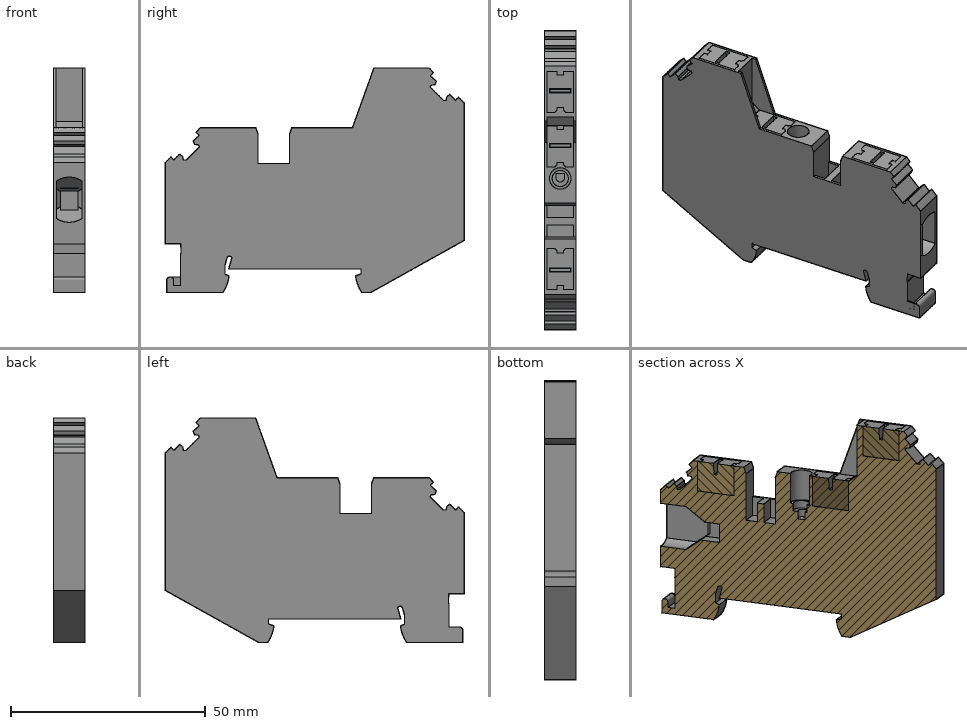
import cadquery as cq
import math

WIDTH = 8.15
LENGTH = 76.7
HEIGHT = 57.6

DECK_Z = 42.3
CORNER = 9.0
SLOPE_TOP_Y = 53.5
SLOPE_BOTTOM_Y = 48.0
REAR_EDGE_Z = 13.35
GAP_BACK_Y = 31.85
GAP_FRONT_Y = 23.85
GAP_FLOOR_Z = 33.1
GAP_LEAD_IN_Y = 0.6
GAP_LEAD_IN_Z = 1.7

RAIL_Z = 6.0
REAR_HOOK_Y = 48.8
FRONT_HOOK_Y = 16.4
HOOK_TIP_Z = 4.3
HOOK_LEDGE_Z = 4.7
HOOK_SHOULDER_Z = 4.8
HOOK_MID = (0.4, 2.4)
HOOK_INSET = 1.6
REAR_HOOK_DEPTH = 1.4
FRONT_HOOK_DEPTH = 1.05
REAR_FOOT_Y = 52.75
SPRING_SLOT_TOP_Z = 8.9
SPRING_SLOT_LEFT_Y = 17.05
SPRING_SLOT_RIGHT_Y = 15.9
SPRING_SLOT_RISE = 0.4
SPRING_SLOT_BEND_Z = 7.0
RAIL_FRONT_Y = 16.25
FOOT_Y = 0.35
FOOT_TOP_Z = 4.0
FOOT_ROUND = 0.9
FOOT_NOTCH_Y = 3.9
FOOT_NOTCH_TOP_Z = 12.45
FOOT_STEP_Z = 10.05
FOOT_STEP_BOTTOM_Y = 4.05
FOOT_STEP_TOP_Y = 3.95

GROOVE_SKIN = 0.35
GROOVE_FLOOR_Z = 1.8

TOOTH_POINTS = [
    (0, 0),
    (1.1, 1.2), (0.3, 2.0),
    (1.85, 3.4), (1.5, 4.35), (0.55, 4.45), (0.25, 4.9),
    (3.65, 8.3), (4.3, 8.3), (4.45, 7.5), (5.25, 6.75),
    (6.8, 8.3), (7.5, 7.5),
    (CORNER, CORNER),
]

INNER_WIDTH = 6.8
RECESS_WALL_Y = 54.5
RECESS_RAMP_Y = 52.4
RECESS_RAMP_Z = 43.9
POCKET_LENGTH = 3.05
POCKET_DEPTH = 5.0

SCREW_Y = 38.8
SCREW_BORE = 5.5
SCREW_BORE_DEPTH = 8.0
SCREW_STEP = 4.15
SCREW_STEP_DEPTH = 2.0
SCREW_TIP = 2.2
SCREW_TIP_DEPTH = 2.0
SCREW_TIP_OFFSET = 0.2

ENTRY_Z = 23.8
ENTRY_RADIUS = 5.8
ENTRY_WIDTH = 6.5
ENTRY_BORE_DEPTH = 7.0
FUNNEL_Z = 24.0
FUNNEL_END_WIDTH = 4.6
FUNNEL_END_HEIGHT = 3.9
FUNNEL_SLOPE = 1.4
CLAMP_WIDTH = 4.6
CLAMP_BOTTOM_Z = 21.15
CLAMP_TOP_Z = 26.75
CLAMP_TOP_DROP = 0.75
CLAMP_DEPTH = 5.0

BUTTON_LENGTH = 10.5
BUTTON_HEIGHT = 8.0
KEY_WIDTH = 1.7
PLAIN_KEY_DEPTH = 0.95
FLARED_KEY_DEPTH = 1.2
KEY_FLARE = 0.55
SLOT_LENGTH = 5.45
SLOT_WIDTH = 1.05
SLOT_DEPTH = 3.0
SLOT_TAPER = 3.0
SLOT_OFFSET = 0.3
BUTTONS = [
    (61.0, HEIGHT, 1),
    (47.0, DECK_Z, 1),
    (15.6, DECK_Z, -1),
]


def toothed_corner(end_y, direction, top_z):
    """Points from the top edge down to the end face at end_y; direction points outward."""
    top_y = end_y - direction * CORNER
    return [(top_y + direction * out, top_z - down) for out, down in TOOTH_POINTS]


def hook_flank(tip_y, direction):
    """Tip, middle and bottom points of a hook flank; direction points into the foot."""
    mid_inset, mid_z = HOOK_MID
    return (
        (tip_y, HOOK_TIP_Z),
        (tip_y + direction * mid_inset, mid_z),
        (tip_y + direction * HOOK_INSET, 0),
    )


def housing_blank():
    rear_corner = toothed_corner(LENGTH, 1, HEIGHT)
    front_corner = toothed_corner(0, -1, DECK_Z)
    rear_tip, rear_mid, rear_bottom = hook_flank(REAR_HOOK_Y, 1)
    front_tip, front_mid, front_bottom = hook_flank(FRONT_HOOK_Y, -1)
    front_ledge_y = FRONT_HOOK_Y - FRONT_HOOK_DEPTH
    slot_mid_y = (SPRING_SLOT_LEFT_Y + SPRING_SLOT_RIGHT_Y) / 2
    round_mid = FOOT_ROUND * (1 - math.sqrt(0.5))

    outline = cq.Workplane("YZ").polyline(rear_corner)
    outline = (
        outline
        .lineTo(LENGTH, REAR_EDGE_Z)
        .lineTo(REAR_FOOT_Y, 0)
        .lineTo(*rear_bottom)
        .threePointArc(rear_mid, rear_tip)
        .lineTo(REAR_HOOK_Y + REAR_HOOK_DEPTH, HOOK_SHOULDER_Z)
        .lineTo(REAR_HOOK_Y + REAR_HOOK_DEPTH, RAIL_Z)
        .lineTo(RAIL_FRONT_Y, RAIL_Z)
        .lineTo(SPRING_SLOT_LEFT_Y, SPRING_SLOT_TOP_Z)
        .threePointArc(
            (slot_mid_y, SPRING_SLOT_TOP_Z + SPRING_SLOT_RISE),
            (SPRING_SLOT_RIGHT_Y, SPRING_SLOT_TOP_Z),
        )
        .lineTo(front_ledge_y, SPRING_SLOT_BEND_Z)
        .lineTo(front_ledge_y, HOOK_LEDGE_Z)
        .lineTo(*front_tip)
        .threePointArc(front_mid, front_bottom)
        .lineTo(FOOT_Y, 0)
        .lineTo(FOOT_Y, FOOT_TOP_Z - FOOT_ROUND)
        .threePointArc(
            (FOOT_Y + round_mid, FOOT_TOP_Z - round_mid),
            (FOOT_Y + FOOT_ROUND, FOOT_TOP_Z),
        )
        .lineTo(FOOT_NOTCH_Y, FOOT_TOP_Z)
        .lineTo(FOOT_NOTCH_Y, FOOT_STEP_Z)
        .lineTo(FOOT_STEP_BOTTOM_Y, FOOT_STEP_Z)
        .lineTo(FOOT_STEP_TOP_Y, FOOT_NOTCH_TOP_Z)
        .lineTo(0, FOOT_NOTCH_TOP_Z)
    )
    for point in reversed(front_corner):
        outline = outline.lineTo(*point)
    outline = (
        outline
        .lineTo(GAP_FRONT_Y - GAP_LEAD_IN_Y, DECK_Z)
        .lineTo(GAP_FRONT_Y, DECK_Z - GAP_LEAD_IN_Z)
        .lineTo(GAP_FRONT_Y, GAP_FLOOR_Z)
        .lineTo(GAP_BACK_Y, GAP_FLOOR_Z)
        .lineTo(GAP_BACK_Y, DECK_Z - GAP_LEAD_IN_Z)
        .lineTo(GAP_BACK_Y + GAP_LEAD_IN_Y, DECK_Z)
        .lineTo(SLOPE_BOTTOM_Y, DECK_Z)
        .lineTo(SLOPE_TOP_Y, HEIGHT)
        .close()
    )
    return outline.extrude(WIDTH / 2, both=True)


def foot_groove_cutter():
    """Groove between the foot notch wall and the lip, whose back is rounded like its front."""
    lip_top_y = FOOT_Y + FOOT_ROUND
    round_offset = FOOT_ROUND * math.sqrt(0.5)
    return (
        cq.Workplane("YZ", origin=(GROOVE_SKIN - WIDTH / 2, 0, 0))
        .moveTo(lip_top_y, FOOT_TOP_Z)
        .threePointArc(
            (lip_top_y + round_offset, FOOT_TOP_Z - FOOT_ROUND + round_offset),
            (lip_top_y + FOOT_ROUND, FOOT_TOP_Z - FOOT_ROUND),
        )
        .lineTo(lip_top_y + FOOT_ROUND, GROOVE_FLOOR_Z)
        .lineTo(FOOT_NOTCH_Y, GROOVE_FLOOR_Z)
        .lineTo(FOOT_NOTCH_Y, FOOT_TOP_Z)
        .close()
        .extrude(WIDTH - GROOVE_SKIN)
    )


def recess_cutter():
    profile = [
        (RECESS_WALL_Y, HEIGHT),
        (RECESS_WALL_Y, RECESS_RAMP_Z),
        (RECESS_RAMP_Y, DECK_Z),
        (SLOPE_BOTTOM_Y, DECK_Z),
        (SLOPE_BOTTOM_Y, HEIGHT),
    ]
    return cq.Workplane("YZ").polyline(profile).close().extrude(INNER_WIDTH / 2, both=True)


def jumper_pocket_cutter():
    centres = [
        (0, GAP_BACK_Y - POCKET_LENGTH / 2),
        (0, GAP_FRONT_Y + POCKET_LENGTH / 2),
    ]
    return (
        cq.Workplane("XY", origin=(0, 0, GAP_FLOOR_Z))
        .pushPoints(centres)
        .rect(INNER_WIDTH, POCKET_LENGTH)
        .extrude(-POCKET_DEPTH)
    )


def screw_hole_cutter():
    bore = cq.Workplane("XY", origin=(0, SCREW_Y, DECK_Z)).circle(SCREW_BORE / 2).extrude(-SCREW_BORE_DEPTH)
    step = bore.faces("<Z").workplane().circle(SCREW_STEP / 2).extrude(SCREW_STEP_DEPTH)
    tip_radius = SCREW_TIP / 2
    tip_top_z = DECK_Z - SCREW_BORE_DEPTH - SCREW_STEP_DEPTH
    tip = (
        cq.Workplane("XY", origin=(0, SCREW_Y + SCREW_TIP_OFFSET, tip_top_z))
        .moveTo(-tip_radius, tip_radius)
        .lineTo(-tip_radius, 0)
        .threePointArc((0, -tip_radius), (tip_radius, 0))
        .lineTo(tip_radius, tip_radius)
        .close()
        .extrude(-SCREW_TIP_DEPTH)
    )
    return step.union(tip)


def wire_entry_cutter():
    half_width = ENTRY_WIDTH / 2
    half_end_width = FUNNEL_END_WIDTH / 2
    half_end_height = FUNNEL_END_HEIGHT / 2
    funnel_depth = FUNNEL_SLOPE * (ENTRY_RADIUS - half_end_height)
    end_y = ENTRY_BORE_DEPTH + funnel_depth
    side_start_y = end_y - (half_width - half_end_width)
    clamp_start_y = end_y - FUNNEL_SLOPE * (CLAMP_TOP_Z - FUNNEL_Z - half_end_height)
    clamp_end_y = clamp_start_y + CLAMP_DEPTH

    bore = cq.Workplane("XZ", origin=(0, 0, ENTRY_Z)).circle(ENTRY_RADIUS).extrude(-end_y)
    sides = (
        cq.Workplane("XY", origin=(0, 0, ENTRY_Z))
        .polyline([
            (-half_width, 0),
            (half_width, 0),
            (half_width, side_start_y),
            (half_end_width, end_y),
            (-half_end_width, end_y),
            (-half_width, side_start_y),
        ])
        .close()
        .extrude(ENTRY_RADIUS, both=True)
    )
    top_and_bottom = (
        cq.Workplane("YZ")
        .polyline([
            (0, ENTRY_Z - ENTRY_RADIUS),
            (ENTRY_BORE_DEPTH, ENTRY_Z - ENTRY_RADIUS),
            (end_y, FUNNEL_Z - half_end_height),
            (end_y, FUNNEL_Z + half_end_height),
            (ENTRY_BORE_DEPTH, ENTRY_Z + ENTRY_RADIUS),
            (0, ENTRY_Z + ENTRY_RADIUS),
        ])
        .close()
        .extrude(half_width, both=True)
    )
    clamp = (
        cq.Workplane("YZ")
        .polyline([
            (clamp_start_y, CLAMP_BOTTOM_Z),
            (clamp_end_y, CLAMP_BOTTOM_Z),
            (clamp_end_y, CLAMP_TOP_Z - CLAMP_TOP_DROP),
            (clamp_start_y + CLAMP_TOP_DROP, CLAMP_TOP_Z - CLAMP_TOP_DROP),
            (clamp_start_y, CLAMP_TOP_Z),
        ])
        .close()
        .extrude(CLAMP_WIDTH / 2, both=True)
    )
    return bore.intersect(sides).intersect(top_and_bottom).union(clamp)


def button_blank(centre_y, top_z, direction):
    """Button body without its slot; also the shape of its pocket in the housing."""
    side = INNER_WIDTH / 2
    end = BUTTON_LENGTH / 2
    key = KEY_WIDTH / 2
    half_outline = [
        (key, end - PLAIN_KEY_DEPTH),
        (key, end),
        (side, end),
        (side, -end),
        (key + KEY_FLARE, -end),
        (key, KEY_FLARE - end),
        (key, FLARED_KEY_DEPTH - end),
    ]
    outline = half_outline + [(-x, y) for x, y in reversed(half_outline)]
    placed = [(x, direction * y) for x, y in outline]
    return (
        cq.Workplane("XY", origin=(0, centre_y, top_z))
        .polyline(placed)
        .close()
        .extrude(-BUTTON_HEIGHT)
    )


def push_button(centre_y, top_z, direction):
    slot = (
        cq.Workplane("XY", origin=(0, centre_y + direction * SLOT_OFFSET, top_z))
        .rect(SLOT_LENGTH, SLOT_WIDTH)
        .extrude(-SLOT_DEPTH, taper=SLOT_TAPER)
    )
    return button_blank(centre_y, top_z, direction).cut(slot)


def terminal_housing():
    body = (
        housing_blank()
        .cut(foot_groove_cutter())
        .cut(recess_cutter())
        .cut(jumper_pocket_cutter())
        .cut(screw_hole_cutter())
        .cut(wire_entry_cutter())
    )
    for placement in BUTTONS:
        body = body.cut(button_blank(*placement))
    return body


housing = terminal_housing()
buttons = [push_button(*placement) for placement in BUTTONS]

result = cq.Compound.makeCompound([housing.val(), *[button.val() for button in buttons]])